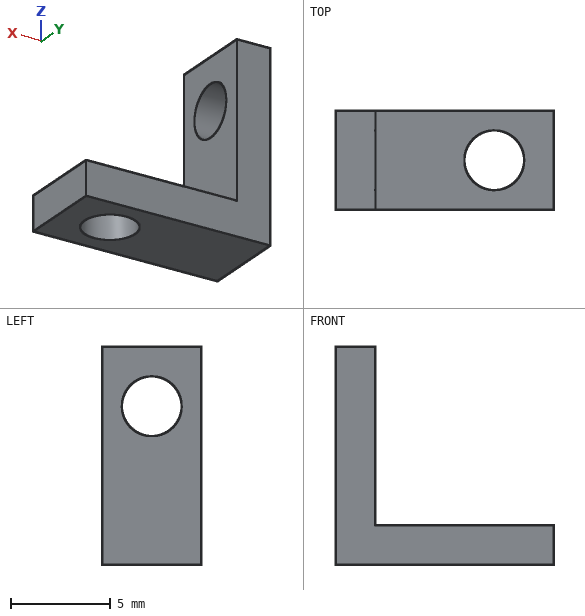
import cadquery as cq

leg_length = 11.0
width = 5.0
thickness = 2.0
hole_diameter = 3.0
hole_end_distance = 3.0

hole_position = leg_length - hole_end_distance
hole_radius = hole_diameter / 2


def leg(size_x, size_z):
    """Plate with one corner edge on the Y axis, centred across the width."""
    return cq.Workplane("XY").box(size_x, width, size_z, centered=(False, True, False))


def hole(start, direction):
    """Cylinder that passes through the thickness of one leg."""
    return cq.Solid.makeCylinder(hole_radius, thickness, cq.Vector(*start), cq.Vector(*direction))


base_leg = leg(leg_length, thickness)
upright_leg = leg(thickness, leg_length)
bracket = base_leg.union(upright_leg)

base_hole = hole((hole_position, 0, 0), (0, 0, 1))
upright_hole = hole((0, 0, hole_position), (1, 0, 0))

result = bracket.cut(base_hole).cut(upright_hole)